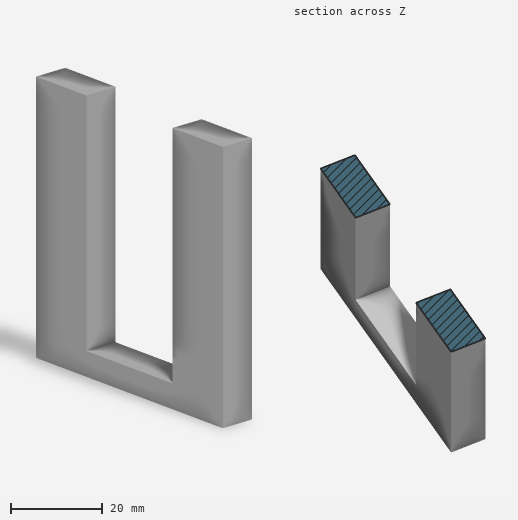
import cadquery as cq

width = 61.0
thickness = 8.5
height = 65.0

leg_width = 16.45
base_height = 6.0

slot_width = width - 2 * leg_width
slot_height = height - base_height

plate = cq.Workplane("XY").box(width, thickness, height, centered=(True, True, False))

slot = (
    cq.Workplane("XY")
    .workplane(offset=base_height)
    .box(slot_width, thickness, slot_height, centered=(True, True, False))
)

result = plate.cut(slot)